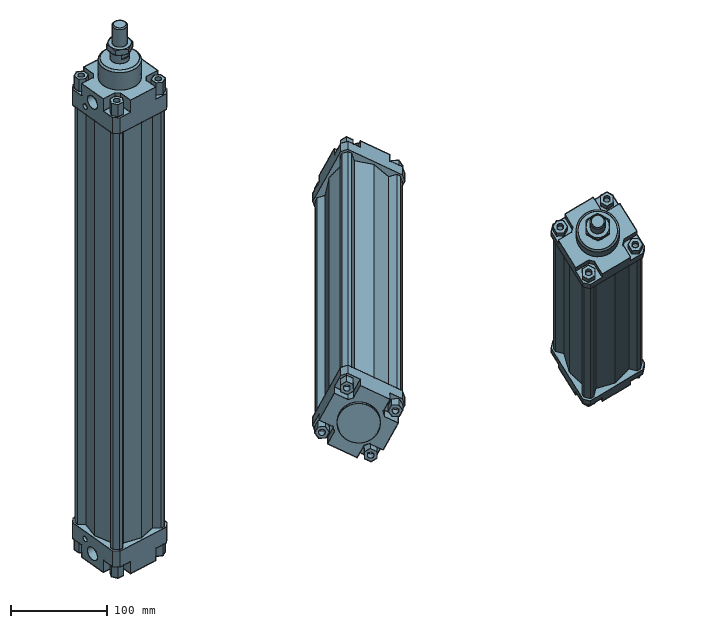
import cadquery as cq
import math

total_length = 694.0
cap_width = 75.0
cap_height = 37.0
cap_corner_chamfer = 5.5
spigot_diameter = 45.0
rear_spigot_height = 4.0
front_collar_height = 25.0
collar_chamfer = 2.0
rod_extension = 69.5

pocket_wall = 17.5
pocket_inner_chamfer = 4.0
pocket_depth = 16.0
screw_offset = 28.5
screw_across_flats = 13.0
screw_hole_diameter = 7.0
screw_hole_depth = 11.0
drill_point_angle = 118.0

port_diameter = 16.0
port_depth = 10.5
port_inset = 14.5
cushion_diameter = 6.0
cushion_depth = 3.5
cushion_offset = 12.0
cushion_inset = 27.0

barrel_half_width = 35.5
barrel_corner = 30.5
groove_edge = 26.5
groove_slope_width = 6.0
crest_angle = 15.0

rod_diameter = 20.0
thread_diameter = 16.0
thread_length = 32.0
thread_chamfer = 1.5
flat_width = 17.5
flat_length = 7.0
nut_across_flats = 24.0
nut_height = 7.5
nut_chamfer_angle = 30.0

front_face = total_length - rod_extension
rear_face = rear_spigot_height
shoulder = total_length - thread_length
rod_bottom = front_face - cap_height


def across_corners(across_flats):
    """Distance across the corners of a hexagon."""
    return across_flats / math.cos(math.pi / 6)


def make_barrel():
    """Solid profile between the caps: chamfered corners and a ridged recess along each side."""
    recess_x = groove_edge - groove_slope_width
    recess_y = barrel_half_width - groove_slope_width
    crest_y = recess_y + recess_x * math.tan(math.radians(crest_angle))
    side = [
        (-barrel_corner, -barrel_half_width),
        (-groove_edge, -barrel_half_width),
        (-recess_x, -recess_y),
        (0, -crest_y),
        (recess_x, -recess_y),
        (groove_edge, -barrel_half_width),
        (barrel_corner, -barrel_half_width),
    ]
    outline = []
    for _ in range(4):
        outline += side
        side = [(-y, x) for x, y in side]
    length = front_face - rear_face - 2 * cap_height
    barrel = cq.Workplane("XY").polyline(outline).close().extrude(length)
    return barrel.translate((0, 0, rear_face + cap_height))


def corner_pocket():
    """Cutter for the pocket in the (-X, -Y) corner, open to the outside, top at Z = 0."""
    inner = pocket_wall + pocket_inner_chamfer
    outside = cap_width
    outline = [
        (-pocket_wall, -outside),
        (-pocket_wall, -inner),
        (-inner, -pocket_wall),
        (-outside, -pocket_wall),
        (-outside, -outside),
    ]
    return cq.Workplane("XY").polyline(outline).close().extrude(-pocket_depth)


def screw_head():
    """Hexagon head of the (-X, -Y) corner with a drilled hole, top at Z = 0."""
    radius = screw_hole_diameter / 2
    point = radius / math.tan(math.radians(drill_point_angle / 2))
    head = cq.Workplane("XY").polygon(6, across_corners(screw_across_flats)).extrude(-pocket_depth)
    hole = (
        cq.Workplane("XZ")
        .polyline([(0, 0), (radius, 0), (radius, -screw_hole_depth), (0, -screw_hole_depth - point)])
        .close()
        .revolve(360, (0, 0, 0), (0, 1, 0))
    )
    return head.cut(hole).translate((-screw_offset, -screw_offset, 0))


def side_hole(x, inset, diameter, depth):
    """Cutter for a blind hole in the -Y face of a cap whose outer face is at Z = 0."""
    return (
        cq.Workplane("XZ", origin=(x, -cap_width / 2, -inset))
        .circle(diameter / 2)
        .extrude(-depth)
    )


def make_cap():
    """End cap with its outer face at Z = 0 and its body below."""
    cap = cq.Workplane("XY").rect(cap_width, cap_width).extrude(-cap_height)
    cap = cap.edges("|Z").chamfer(cap_corner_chamfer)
    cap = cap.cut(side_hole(0, port_inset, port_diameter, port_depth))
    cap = cap.cut(side_hole(-cushion_offset, cushion_inset, cushion_diameter, cushion_depth))
    for angle in (0, 90, 180, 270):
        cap = cap.cut(corner_pocket().rotate((0, 0, 0), (0, 0, 1), angle))
        cap = cap.union(screw_head().rotate((0, 0, 0), (0, 0, 1), angle))
    return cap


def make_housing():
    """Barrel, both caps and their collars as one solid, with a blind bore for the rod."""
    front_cap = make_cap().translate((0, 0, front_face))
    rear_cap = make_cap().mirror("XY").translate((0, 0, rear_face))
    collar = (
        cq.Workplane("XY", origin=(0, 0, front_face))
        .circle(spigot_diameter / 2)
        .extrude(front_collar_height)
        .faces(">Z")
        .chamfer(collar_chamfer)
    )
    rear_spigot = cq.Workplane("XY").circle(spigot_diameter / 2).extrude(rear_face)
    rod_bore = (
        cq.Workplane("XY", origin=(0, 0, rod_bottom))
        .circle(rod_diameter / 2)
        .extrude(cap_height + front_collar_height)
    )
    housing = make_barrel().union(front_cap).union(rear_cap).union(collar).union(rear_spigot)
    return housing.cut(rod_bore)


def make_rod():
    """Piston rod with two wrench flats below a threaded end, seated in the housing bore."""
    rod = (
        cq.Workplane("XY", origin=(0, 0, rod_bottom))
        .circle(rod_diameter / 2)
        .extrude(shoulder - rod_bottom)
    )
    flats = (
        cq.Workplane("XY", origin=(0, 0, shoulder - flat_length))
        .rect(2 * rod_diameter, 2 * rod_diameter)
        .rect(flat_width, 2 * rod_diameter)
        .extrude(flat_length)
    )
    thread = (
        cq.Workplane("XY", origin=(0, 0, shoulder))
        .circle(thread_diameter / 2)
        .extrude(thread_length)
        .faces(">Z")
        .chamfer(thread_chamfer)
    )
    return rod.cut(flats).union(thread)


def make_nut():
    """Hexagon lock nut resting on the rod shoulder, two corners along X, bevelled at both ends."""
    hexagon = cq.Workplane("XY").polygon(6, across_corners(nut_across_flats)).extrude(nut_height)
    corner_radius = across_corners(nut_across_flats) / 2
    end_radius = nut_across_flats / 2
    drop = (corner_radius - end_radius) * math.tan(math.radians(nut_chamfer_angle))
    bevel = (
        cq.Workplane("XZ")
        .polyline([
            (0, 0),
            (end_radius, 0),
            (corner_radius, drop),
            (corner_radius, nut_height - drop),
            (end_radius, nut_height),
            (0, nut_height),
        ])
        .close()
        .revolve(360, (0, 0, 0), (0, 1, 0))
    )
    hole = cq.Workplane("XY").circle(thread_diameter / 2).extrude(nut_height)
    return hexagon.intersect(bevel).cut(hole).translate((0, 0, shoulder))


housing = make_housing()
piston_rod = make_rod()
nut = make_nut()

result = cq.Compound.makeCompound([housing.val(), piston_rod.val(), nut.val()])